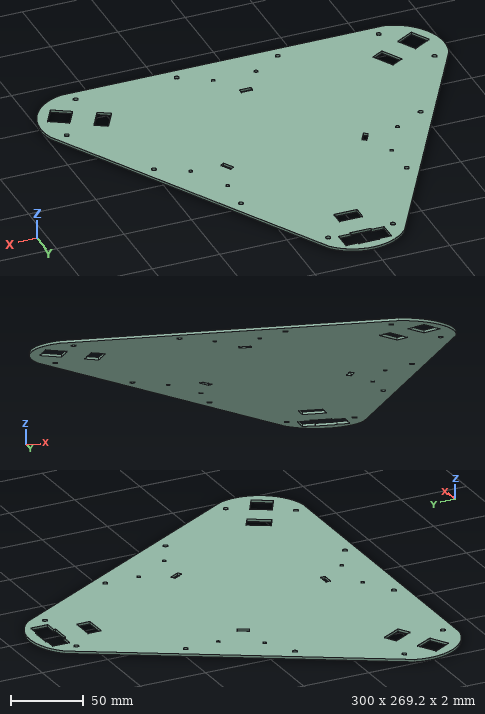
import cadquery as cq
import math

thickness = 2.0
edge_hole_pitch = 75.0
corner_radius = 37.5
edge_distance = 101.8
corner_spacing = 3 * edge_hole_pitch
corner_center_distance = corner_spacing / math.sqrt(3)

edge_hole_diameter = 3.3
edge_hole_inset = 9.0
inner_hole_diameter = 2.5
inner_hole_spacing = 31.8
inner_hole_inset = 22.2

slot_length, slot_width = 8.5, 3.3
slot_inset = 42.7
window_length, window_width = 17.0, 10.0
window_distance = 122.3
corner_window_size = 15.3
corner_window_distance = 151.7

wide_window_length, wide_window_width = 33.5, 13.0
wide_window_distance = 152.0

side_angles = (0, 120, 240)


def rotated(solid, angle):
    return solid.rotate((0, 0, 0), (0, 0, 1), angle)


def make_plate():
    """Three straight sides joined by corner arcs."""
    arc_center_x = corner_spacing / 2
    arc_center_y = -corner_center_distance / 2
    side_depth = edge_distance + arc_center_y
    half_side = arc_center_x + math.sqrt(corner_radius**2 - side_depth**2)
    arc_middle = corner_center_distance + corner_radius

    def turned_point(x, y, angle):
        a = math.radians(angle)
        return (x * math.cos(a) - y * math.sin(a), x * math.sin(a) + y * math.cos(a))

    outline = cq.Workplane("XY").moveTo(-half_side, -edge_distance)
    for angle in side_angles:
        outline = outline.lineTo(*turned_point(half_side, -edge_distance, angle))
        outline = outline.threePointArc(
            turned_point(0, arc_middle, angle - 120),
            turned_point(-half_side, -edge_distance, angle + 120),
        )
    return outline.close().extrude(thickness)


def box_cutter(length, width, y):
    return cq.Workplane("XY").center(0, y).rect(length, width).extrude(thickness)


def hole_row(count, spacing, diameter, inset):
    """Row of holes parallel to the -Y side."""
    row = cq.Workplane("XY").center(0, inset - edge_distance)
    return row.rarray(spacing, 3, count, 1).circle(diameter / 2).extrude(thickness)


cutters = (
    hole_row(4, edge_hole_pitch, edge_hole_diameter, edge_hole_inset),
    hole_row(2, inner_hole_spacing, inner_hole_diameter, inner_hole_inset),
    box_cutter(slot_length, slot_width, slot_inset - edge_distance),
    box_cutter(window_length, window_width, window_distance),
    box_cutter(corner_window_size, corner_window_size, corner_window_distance),
)

result = make_plate()
for angle in side_angles:
    for cutter in cutters:
        result = result.cut(rotated(cutter, angle))
result = result.cut(box_cutter(wide_window_length, wide_window_width, wide_window_distance))